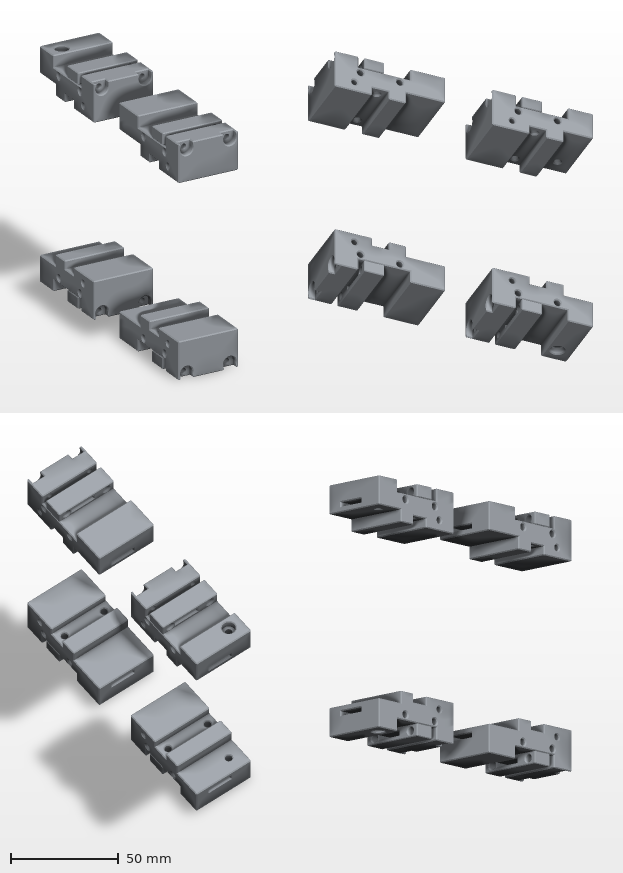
import cadquery as cq
TOTAL_LENGTH = 131.0
TOTAL_HEIGHT = 120.0
WIDTH = 32.0
TOP_Z = TOTAL_HEIGHT / 2

SHORT_LENGTH = 51.1
NOSE_EXTENSION = 5.0
JAW_HEIGHT = 19.8
NOSE_END_X = 12.8
WALL_X = 39.0
FLOOR_DEPTH = 6.0
STEP_X = 14.9
STEP_HEIGHT = 5.9
GROOVE_X = 23.7
GROOVE_WIDTH = 8.4
GROOVE_DEPTH = 4.2
EDGE_CHAMFER = 0.5

CROSS_HOLE_DIAMETER = 3.1
CROSS_HOLE_DEPTH = 8.8
FRONT_HOLE_X = 18.1
REAR_HOLE_X = 38.0
LOW_HOLE_DIAMETER = 2.8
LOW_HOLE_X = 41.0
LOW_HOLE_DEPTH = 14.9
HOLE_CHAMFER = 0.58

SLOT_Y = 2.1
SLOT_WIDTH = 12.7
SLOT_HEIGHT = 2.1
NOSE_SLOT_DEPTH = 10.2

SCREW_Y = 11.5
SCREW_DEPTH = 3.0
SCREW_HOLE_DIAMETER = 2.8
BAR_HOLE_DIAMETER = 3.7
HEAD_DIAMETER = 6.5
HEAD_RECESS_LENGTH = 3.1

GROOVE_HOLE_DIAMETER = 3.4
GROOVE_HOLE_X = 27.9
NOSE_HOLE_DIAMETER = 3.4
NOSE_HOLE_X = 7.6
NOSE_HOLE_Y = -8.5
NOSE_HEAD_DEPTH = 3.8

BAR_END_X = 36.2
BAR_LENGTH = 10.2
BAR_CHAMFER = 0.4


def cylinder_along(axis, diameter, length, start):
    """Cylinder that begins at the point start and runs along the axis vector."""
    return cq.Workplane(cq.Solid.makeCylinder(diameter / 2, length, cq.Vector(*start), cq.Vector(*axis)))


def cone_along(axis, diameter, chamfer, start):
    """Countersink whose rim is the hole diameter plus one chamfer on each side."""
    radius = diameter / 2
    return cq.Workplane(
        cq.Solid.makeCone(radius + chamfer, radius, chamfer, cq.Vector(*start), cq.Vector(*axis))
    )


def jaw_blank(nose_extension):
    """Jaw outline, extruded over the full width."""
    front = -nose_extension
    foot_z = -JAW_HEIGHT
    step_z = foot_z + STEP_HEIGHT
    groove_z = foot_z + GROOVE_DEPTH
    groove_end = GROOVE_X + GROOVE_WIDTH
    outline = [
        (front, 0),
        (NOSE_END_X, 0),
        (NOSE_END_X, -FLOOR_DEPTH),
        (WALL_X, -FLOOR_DEPTH),
        (WALL_X, 0),
        (SHORT_LENGTH, 0),
        (SHORT_LENGTH, foot_z),
        (groove_end, foot_z),
        (groove_end, groove_z),
        (GROOVE_X, groove_z),
        (GROOVE_X, foot_z),
        (STEP_X, foot_z),
        (STEP_X, step_z),
        (front, step_z),
    ]
    return cq.Workplane("XZ").polyline(outline).close().extrude(WIDTH / 2, both=True)


def chamfer_edges(body, size):
    """Break the outlines of both side faces and the cross edges of the top and bottom."""
    body = body.faces("<Y or >Y").edges().chamfer(size)
    return body.faces("<Z or >Z").edges("|Y").chamfer(size)


def cross_hole(x, depth, diameter):
    """Hole through the full width, countersunk at both ends."""
    hole = cylinder_along((0, 1, 0), diameter, WIDTH, (x, -WIDTH / 2, -depth))
    for side in (-1, 1):
        start = (x, side * WIDTH / 2, -depth)
        hole = hole.union(cone_along((0, -side, 0), diameter, HOLE_CHAMFER, start))
    return hole


def slot(front_x, end_x, depth):
    """Flat slot that runs along X from a chamfered mouth."""
    passage = cq.Workplane("XY").box(
        end_x - front_x, SLOT_WIDTH, SLOT_HEIGHT, centered=(False, True, True)
    )
    mouth = (
        cq.Workplane("YZ")
        .rect(SLOT_WIDTH + 2 * EDGE_CHAMFER, SLOT_HEIGHT + 2 * EDGE_CHAMFER)
        .workplane(offset=EDGE_CHAMFER)
        .rect(SLOT_WIDTH, SLOT_HEIGHT)
        .loft(ruled=True)
    )
    return passage.union(mouth).translate((front_x, SLOT_Y, -depth))


def screw_recess(y):
    """Clearance hole through the wall with a head recess that is open to the top."""
    hole = cylinder_along((1, 0, 0), SCREW_HOLE_DIAMETER, SHORT_LENGTH - WALL_X, (WALL_X, y, -SCREW_DEPTH))
    recess_x = SHORT_LENGTH - HEAD_RECESS_LENGTH
    seat = cylinder_along((1, 0, 0), HEAD_DIAMETER, HEAD_RECESS_LENGTH, (recess_x, y, -SCREW_DEPTH))
    opening = (
        cq.Workplane("XY")
        .box(HEAD_RECESS_LENGTH, HEAD_DIAMETER, SCREW_DEPTH, centered=(False, True, False))
        .translate((recess_x, y, -SCREW_DEPTH))
    )
    rim = (
        cq.Workplane("XY")
        .rect(2 * HEAD_RECESS_LENGTH, HEAD_DIAMETER)
        .workplane(offset=EDGE_CHAMFER)
        .rect(2 * (HEAD_RECESS_LENGTH + EDGE_CHAMFER), HEAD_DIAMETER + 2 * EDGE_CHAMFER)
        .loft(ruled=True)
        .translate((SHORT_LENGTH, y, -EDGE_CHAMFER))
    )
    mouth = cone_along((-1, 0, 0), HEAD_DIAMETER, EDGE_CHAMFER, (SHORT_LENGTH, y, -SCREW_DEPTH))
    return hole.union(seat).union(opening).union(rim).union(mouth)


def groove_hole(y):
    """Vertical hole from the bottom groove to the floor under the bar."""
    groove_z = GROOVE_DEPTH - JAW_HEIGHT
    start = (GROOVE_HOLE_X, y, groove_z)
    hole = cylinder_along((0, 0, 1), GROOVE_HOLE_DIAMETER, -FLOOR_DEPTH - groove_z, start)
    return hole.union(cone_along((0, 0, 1), GROOVE_HOLE_DIAMETER, EDGE_CHAMFER, start))


def nose_hole():
    """Counterbored vertical hole through the nose, chamfered at both mouths."""
    bottom = STEP_HEIGHT - JAW_HEIGHT
    top_point = (NOSE_HOLE_X, NOSE_HOLE_Y, 0)
    bottom_point = (NOSE_HOLE_X, NOSE_HOLE_Y, bottom)
    hole = cylinder_along((0, 0, 1), NOSE_HOLE_DIAMETER, -bottom, bottom_point)
    hole = hole.union(cone_along((0, 0, 1), NOSE_HOLE_DIAMETER, EDGE_CHAMFER, bottom_point))
    hole = hole.union(cylinder_along((0, 0, -1), HEAD_DIAMETER, NOSE_HEAD_DEPTH, top_point))
    return hole.union(cone_along((0, 0, -1), HEAD_DIAMETER, EDGE_CHAMFER, top_point))


def make_jaw(nose_extension=0.0):
    """Jaw with the features that both lengths share."""
    jaw = chamfer_edges(jaw_blank(nose_extension), EDGE_CHAMFER)
    jaw = jaw.faces("<X").edges("<Z").chamfer(EDGE_CHAMFER)
    for x in (FRONT_HOLE_X, REAR_HOLE_X):
        jaw = jaw.cut(cross_hole(x, CROSS_HOLE_DEPTH, CROSS_HOLE_DIAMETER))
    jaw = jaw.cut(cross_hole(LOW_HOLE_X, LOW_HOLE_DEPTH, LOW_HOLE_DIAMETER))
    jaw = jaw.cut(slot(-nose_extension, FRONT_HOLE_X, NOSE_SLOT_DEPTH))
    for side in (-1, 1):
        jaw = jaw.cut(screw_recess(side * SCREW_Y))
        jaw = jaw.cut(groove_hole(side * SCREW_Y))
    return jaw


def make_short_jaw():
    return make_jaw().cut(nose_hole())


def make_long_jaw():
    return make_jaw(NOSE_EXTENSION)


def make_bar():
    """Clamp bar that rests on the floor, flush with the top."""
    bar_x = BAR_END_X - BAR_LENGTH
    bar = (
        cq.Workplane("XY")
        .box(BAR_LENGTH, WIDTH, FLOOR_DEPTH, centered=(False, True, False))
        .translate((bar_x, 0, -FLOOR_DEPTH))
    )
    bar = chamfer_edges(bar, BAR_CHAMFER)
    for side in (-1, 1):
        start = (bar_x, side * SCREW_Y, -SCREW_DEPTH)
        bar = bar.cut(cone_along((1, 0, 0), BAR_HOLE_DIAMETER, EDGE_CHAMFER, start))
        bar = bar.cut(cylinder_along((1, 0, 0), BAR_HOLE_DIAMETER, BAR_LENGTH, start))
    return bar.cut(slot(bar_x, BAR_END_X, SCREW_DEPTH))


LONG_JAW_X = TOTAL_LENGTH - SHORT_LENGTH
placed_bodies = [
    (make_short_jaw(), 0),
    (make_bar(), 0),
    (make_long_jaw(), LONG_JAW_X),
    (make_bar(), LONG_JAW_X),
]
solids = []
for body, x in placed_bodies:
    upper = body.translate((x, 0, TOP_Z))
    solids.append(upper.val())
    solids.append(upper.mirror("XY").val())

result = cq.Compound.makeCompound(solids)